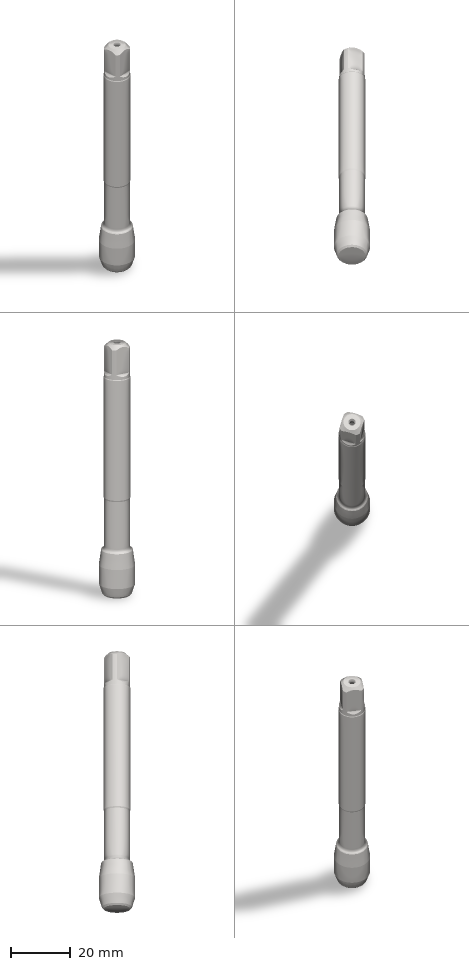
import cadquery as cq
import math

total_length = 89.0

head_diameter = 12.15
lead_diameter = 10.1
tip_diameter = 9.0
tip_chamfer_height = 0.6
lead_top = 3.85
head_straight_top = 10.6
head_shoulder_diameter = 10.6
head_shoulder = 15.9
collar_diameter = 10.1
collar_bottom = 16.15
head_top = 17.3

neck_diameter = 8.64
shank_diameter = 9.0
drive_diameter = 8.7
neck_top = 34.0
neck_step_height = 0.5
drive_length = 12.1
drive_step_height = 0.25

square_width = 7.1
square_length = 10.1
top_face_diameter = 5.7
top_chamfer_height = 1.4

centre_hole_diameter = 1.6
centre_hole_depth = 2.5
countersink_diameter = 2.5
countersink_depth = 0.9
drill_point_angle = 120.0


def turn(outline):
    """Close an outline drawn in the XZ plane and revolve it about Z."""
    return outline.close().revolve(360, (0, 0), (0, 1))


def make_head():
    neck_radius = neck_diameter / 2
    flare_width = collar_diameter / 2 - neck_radius
    flare_height = head_top - collar_bottom
    flare_radius = (flare_width**2 + flare_height**2) / (2 * flare_width)
    flare_half_angle = math.asin(flare_height / flare_radius) / 2
    flare_middle = (
        neck_radius + flare_radius * (1 - math.cos(flare_half_angle)),
        head_top - flare_radius * math.sin(flare_half_angle),
    )
    return turn(
        cq.Workplane("XZ")
        .lineTo(tip_diameter / 2, 0)
        .lineTo(lead_diameter / 2, tip_chamfer_height)
        .lineTo(head_diameter / 2, lead_top)
        .lineTo(head_diameter / 2, head_straight_top)
        .lineTo(head_shoulder_diameter / 2, head_shoulder)
        .lineTo(collar_diameter / 2, collar_bottom)
        .threePointArc(flare_middle, (neck_radius, head_top))
        .lineTo(0, head_top)
    )


def make_shank_blank():
    drive_bottom = total_length - drive_length
    return turn(
        cq.Workplane("XZ").polyline([
            (0, head_top),
            (neck_diameter / 2, head_top),
            (neck_diameter / 2, neck_top),
            (shank_diameter / 2, neck_top + neck_step_height),
            (shank_diameter / 2, drive_bottom),
            (drive_diameter / 2, drive_bottom + drive_step_height),
            (drive_diameter / 2, total_length - top_chamfer_height),
            (top_face_diameter / 2, total_length),
            (0, total_length),
        ])
    )


def make_flat_cutter():
    """Cutter for one flat of the square, running out at 45 degrees into the shank."""
    inner = square_width / 2
    outer = shank_diameter
    flat_bottom = total_length - square_length
    return (
        cq.Workplane("XZ")
        .moveTo(inner, total_length)
        .lineTo(inner, flat_bottom)
        .lineTo(outer, flat_bottom - (outer - inner))
        .lineTo(outer, total_length)
        .close()
        .extrude(shank_diameter, both=True)
    )


def make_centre_hole():
    hole_radius = centre_hole_diameter / 2
    rim_radius = countersink_diameter / 2
    hole_bottom = total_length - centre_hole_depth
    point_height = hole_radius / math.tan(math.radians(drill_point_angle / 2))
    return turn(
        cq.Workplane("XZ").polyline([
            (0, hole_bottom - point_height),
            (hole_radius, hole_bottom),
            (hole_radius, total_length - countersink_depth),
            (rim_radius, total_length),
            (0, total_length),
        ])
    )


def make_shank():
    shank = make_shank_blank()
    for side in range(4):
        shank = shank.cut(make_flat_cutter().rotate((0, 0, 0), (0, 0, 1), 90 * side))
    return shank.cut(make_centre_hole())


head = make_head()
shank = make_shank()
result = cq.Compound.makeCompound([head.val(), shank.val()])